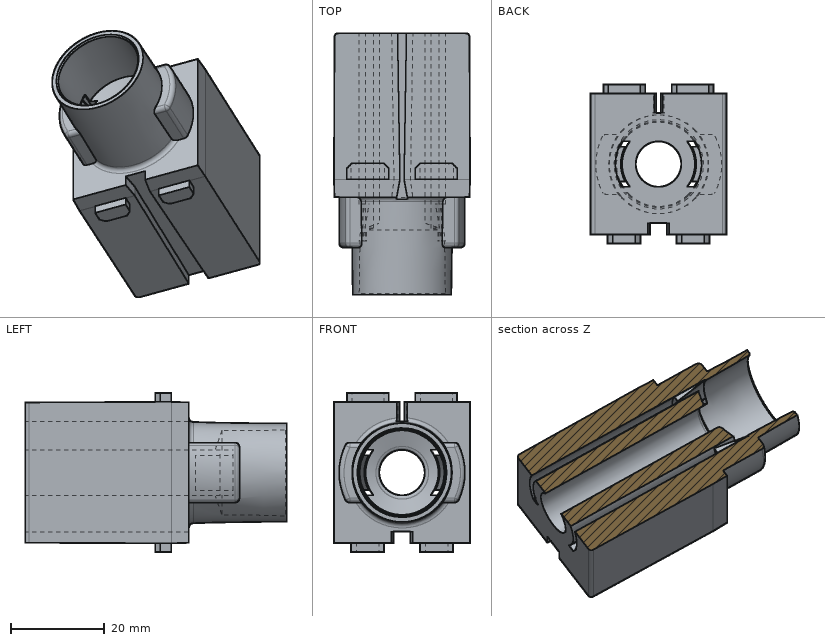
import cadquery as cq
import math

BLOCK_WIDTH = 29.25
BLOCK_HEIGHT = 30.4
BLOCK_LENGTH = 35.15
PARTING_Y = 3.77
REAR_INSET = 0.12
FRONT_INSET = 0.11
REAR_CORNER_RADIUS = 0.8

OVERALL_HEIGHT = 34.16
LUG_LENGTH = 3.5
LUG_CORNER = 1.1
LUG_ROOT = 1.0
TOP_LUG_WIDTH = 9.0
TOP_LUG_X = 7.33
BOTTOM_LUG_WIDTH = 7.1
BOTTOM_LUG_X = 7.4

TOP_SLOT_FLOOR = 11.0
TOP_SLOT_THROAT = 0.9
BOTTOM_SLOT_FLOOR = -12.65
BOTTOM_SLOT_THROAT = 3.54
TOP_SLOT_FLARE = 0.18
BOTTOM_SLOT_FLARE = 0.13
SLOT_REAR_FLARE = 0.016

TUBE_LENGTH = 21.0
TUBE_ROOT_RADIUS = 10.9
TUBE_END_RADIUS = 10.6
COLLAR_FILLET = 0.95

LIP_RADIUS = 9.58
LIP_CHAMFER = 0.33
SOCKET_FLOOR_RADIUS = 9.05
SOCKET_DEPTH = 14.0
CONE_SMALL_RADIUS = 5.65
CONE_DEPTH = 1.2
HOLE_RADIUS = 4.85

WING_RADIUS = 13.5
WING_HEIGHT = 12.86
WING_LENGTH = 10.85
WING_FILLET = 1.0

WINDOW_START_DEPTH = 11.6
WINDOW_INNER_RADIUS = 7.85
WINDOW_OUTER_RADIUS = 9.25
WINDOW_HEIGHT = 9.7
FINGER_HEIGHT = 7.5
FINGER_GAP = 0.2
FINGER_LENGTH = 8.0

TUBE_END_Y = -TUBE_LENGTH
SOCKET_FLOOR_Y = TUBE_END_Y + SOCKET_DEPTH
WINDOW_START_Y = TUBE_END_Y + WINDOW_START_DEPTH
SIDES = (-1, 1)


def frustum(start_y, start_inset, end_y, end_inset):
    """Block section lofted along Y between two inset rectangles."""
    return (
        cq.Workplane("XZ", origin=(0, start_y, 0))
        .rect(BLOCK_WIDTH - 2 * start_inset, BLOCK_HEIGHT - 2 * start_inset)
        .workplane(offset=start_y - end_y)
        .rect(BLOCK_WIDTH - 2 * end_inset, BLOCK_HEIGHT - 2 * end_inset)
        .loft(combine=True)
    )


def revolve_about_y(outline):
    """Revolve a closed outline of the XY plane about the Y axis."""
    return outline.close().revolve(360, (0, 0, 0), (0, 1, 0))


def make_block():
    rear = frustum(BLOCK_LENGTH, REAR_INSET, PARTING_Y, 0)
    front = frustum(PARTING_Y, 0, 0, FRONT_INSET)
    rear_corners = rear.edges("|Z").edges(">Y")
    return rear_corners.fillet(REAR_CORNER_RADIUS).union(front)


def make_lugs():
    lugs = cq.Workplane("XY")
    lug_height = (OVERALL_HEIGHT - BLOCK_HEIGHT) / 2 + LUG_ROOT
    top_base = BLOCK_HEIGHT / 2 - LUG_ROOT
    rows = (
        (TOP_LUG_WIDTH, TOP_LUG_X, top_base),
        (BOTTOM_LUG_WIDTH, BOTTOM_LUG_X, -OVERALL_HEIGHT / 2),
    )
    for width, centre_x, base_z in rows:
        for side in SIDES:
            lug = (
                cq.Workplane("XY")
                .box(width, LUG_LENGTH, lug_height, centered=(True, False, False))
                .edges("|Z and >Y")
                .chamfer(LUG_CORNER)
                .translate((side * centre_x, PARTING_Y, base_z))
            )
            lugs = lugs.add(lug)
    return lugs.combine()


def make_slot(throat, front_flare, floor_z, open_z):
    """Slot cutter from the floor out through the open face of the block."""
    throat_half = throat / 2
    front_half = throat_half + front_flare * (PARTING_Y + COLLAR_FILLET)
    rear_half = throat_half + SLOT_REAR_FLARE * (BLOCK_LENGTH - PARTING_Y)
    return (
        cq.Workplane("XY", origin=(0, 0, floor_z))
        .moveTo(-front_half, -COLLAR_FILLET)
        .lineTo(front_half, -COLLAR_FILLET)
        .lineTo(throat_half, PARTING_Y)
        .lineTo(rear_half, BLOCK_LENGTH)
        .lineTo(-rear_half, BLOCK_LENGTH)
        .lineTo(-throat_half, PARTING_Y)
        .close()
        .extrude(open_z - floor_z)
    )


def make_tube():
    """Solid tapered tube with a concave fillet where it meets the block."""
    taper = (TUBE_ROOT_RADIUS - TUBE_END_RADIUS) / TUBE_LENGTH
    collar_start_radius = TUBE_ROOT_RADIUS - taper * COLLAR_FILLET
    collar_radius = collar_start_radius + COLLAR_FILLET
    return revolve_about_y(
        cq.Workplane("XY")
        .moveTo(0, PARTING_Y)
        .lineTo(0, TUBE_END_Y)
        .lineTo(TUBE_END_RADIUS, TUBE_END_Y)
        .lineTo(collar_start_radius, -COLLAR_FILLET)
        .tangentArcPoint((collar_radius, 0), relative=False)
        .lineTo(collar_radius, PARTING_Y)
    )


def make_wings():
    wing_bar = (
        cq.Workplane("XZ", origin=(0, PARTING_Y, 0))
        .rect(2 * BLOCK_WIDTH, WING_HEIGHT)
        .extrude(PARTING_Y + WING_LENGTH)
    )
    wing_drum = (
        cq.Workplane("XZ", origin=(0, PARTING_Y, 0))
        .circle(WING_RADIUS)
        .extrude(PARTING_Y + WING_LENGTH)
    )
    wings = wing_bar.intersect(wing_drum)
    return wings.edges("|Y").fillet(WING_FILLET).faces("<Y").edges().fillet(WING_FILLET)


def make_bore():
    """Cutter for the lip chamfer, tapered socket, conical floor and rounded through hole."""
    cone_end_y = SOCKET_FLOOR_Y + CONE_DEPTH
    hole_round = CONE_SMALL_RADIUS - HOLE_RADIUS
    round_middle = hole_round * (1 - math.sqrt(0.5))
    return revolve_about_y(
        cq.Workplane("XY")
        .moveTo(0, TUBE_END_Y)
        .lineTo(LIP_RADIUS, TUBE_END_Y)
        .lineTo(LIP_RADIUS - LIP_CHAMFER, TUBE_END_Y + LIP_CHAMFER)
        .lineTo(SOCKET_FLOOR_RADIUS, SOCKET_FLOOR_Y)
        .lineTo(CONE_SMALL_RADIUS, cone_end_y)
        .threePointArc(
            (HOLE_RADIUS + round_middle, cone_end_y + round_middle),
            (HOLE_RADIUS, cone_end_y + hole_round),
        )
        .lineTo(HOLE_RADIUS, BLOCK_LENGTH)
        .lineTo(0, BLOCK_LENGTH)
    )


def side_band(height):
    """Full-width bar of the given height from the window start to the rear face."""
    return (
        cq.Workplane("XZ", origin=(0, BLOCK_LENGTH, 0))
        .rect(BLOCK_WIDTH, height)
        .extrude(BLOCK_LENGTH - WINDOW_START_Y)
    )


def make_windows():
    ring = (
        cq.Workplane("XZ", origin=(0, BLOCK_LENGTH, 0))
        .circle(WINDOW_OUTER_RADIUS)
        .circle(WINDOW_INNER_RADIUS)
        .extrude(BLOCK_LENGTH - WINDOW_START_Y)
    )
    return ring.intersect(side_band(WINDOW_HEIGHT))


def make_fingers():
    """Wedges that ramp inwards from the window's outer wall, leaving a narrow gap."""
    tip_y = WINDOW_START_Y + FINGER_LENGTH
    root_radius = (WINDOW_OUTER_RADIUS + TUBE_END_RADIUS) / 2
    wedge = revolve_about_y(
        cq.Workplane("XY")
        .moveTo(WINDOW_OUTER_RADIUS, WINDOW_START_Y)
        .lineTo(WINDOW_INNER_RADIUS + FINGER_GAP, tip_y)
        .lineTo(root_radius, tip_y)
        .lineTo(root_radius, WINDOW_START_Y)
    )
    return wedge.intersect(side_band(FINGER_HEIGHT))


top_slot = make_slot(TOP_SLOT_THROAT, TOP_SLOT_FLARE, TOP_SLOT_FLOOR, OVERALL_HEIGHT / 2)
bottom_slot = make_slot(BOTTOM_SLOT_THROAT, BOTTOM_SLOT_FLARE, BOTTOM_SLOT_FLOOR, -OVERALL_HEIGHT / 2)

result = make_block().union(make_lugs()).union(make_tube()).union(make_wings())
result = result.cut(top_slot).cut(bottom_slot)
result = result.cut(make_bore()).cut(make_windows()).union(make_fingers())